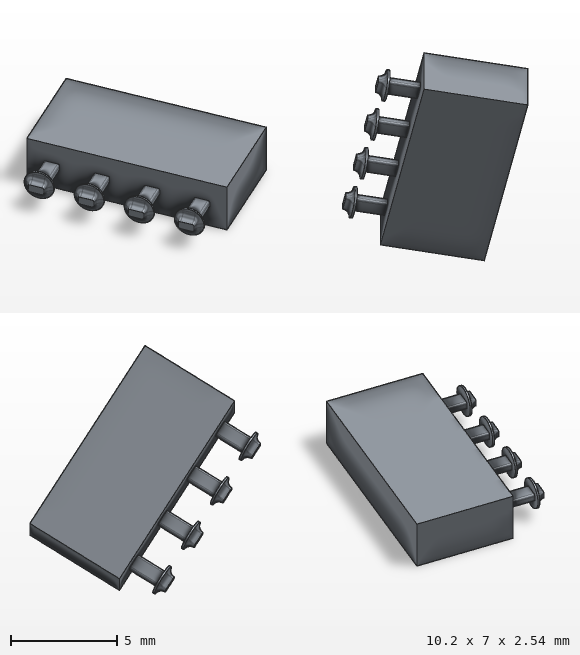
import cadquery as cq

body_width = 10.16
body_depth = 5.0
body_height = 2.54

pin_count = 4
pin_pitch = body_width / pin_count

pin_width = 0.8
pin_thickness = 0.41
pin_edge_radius = 0.1
pin_length = 2.0

head_diameter = 1.5
collar_thickness = 0.1
flare_radius = 0.4
head_length = 0.48


def make_shank(length):
    """Rounded rectangular bar from the body face (y = 0) toward -Y."""
    return (
        cq.Workplane("XZ")
        .rect(pin_width, pin_thickness)
        .extrude(length)
        .edges("|Y")
        .fillet(pin_edge_radius)
    )


def make_head():
    """Collar and flare, trimmed to the round head outline."""
    collar_start = pin_length - head_length
    plate_size = 2 * head_diameter
    flare_plane = collar_start + collar_thickness
    plate = (
        cq.Workplane("XZ", origin=(0, -collar_start, 0))
        .rect(plate_size, plate_size)
        .extrude(collar_thickness)
    )
    root_zone = cq.selectors.BoxSelector(
        (-pin_width, -flare_plane - pin_edge_radius / 2, -pin_thickness),
        (pin_width, -flare_plane + pin_edge_radius / 2, pin_thickness),
    )
    long_shank = make_shank(pin_length + flare_radius)
    flared = plate.union(long_shank).edges(root_zone).fillet(flare_radius)
    outline = (
        cq.Workplane("XZ", origin=(0, -collar_start, 0))
        .circle(head_diameter / 2)
        .extrude(head_length)
    )
    return flared.intersect(outline)


pin = make_shank(pin_length).union(make_head())

result = cq.Workplane("XY").box(body_width, body_depth, body_height)
for index in range(pin_count):
    pin_x = (index - (pin_count - 1) / 2) * pin_pitch
    result = result.union(pin.translate((pin_x, -body_depth / 2, 0)))